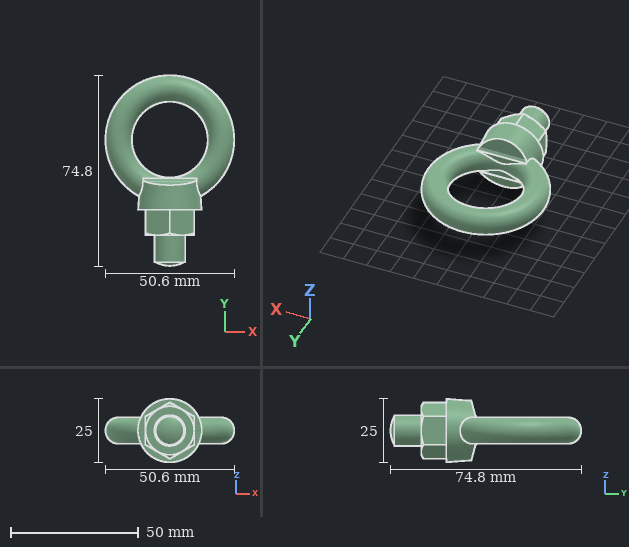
import cadquery as cq
import math

overall_length = 74.75

ring_outer_radius = 25.3
wire_radius = 5.2
ring_mean_radius = ring_outer_radius - wire_radius

collar_base_y = -27.5
collar_base_radius = 12.5
collar_taper = 4.0
shoulder_foot_y = -16.0
shoulder_foot_height = 5.15
shoulder_slope = 15.0
shoulder_fillet = 1.1

hex_across_flats = 19.1
hex_length = 9.95
hex_chamfer_angle = 30.0
hex_face_radius = 9.5
shank_radius = 6.05
shank_length = 10.55
dome_radius = 5.5
bolt_tip_y = ring_outer_radius - overall_length

hex_end_y = collar_base_y - hex_length
shank_end_y = hex_end_y - shank_length


def cylinder_along_y(radius, start_y, end_y):
    """Cylinder on the Y axis, running toward -Y from start_y to end_y."""
    return cq.Workplane("XZ", origin=(0, start_y, 0)).circle(radius).extrude(start_y - end_y)


def revolve_about_y(profile):
    return profile.close().revolve(360, (0, 0, 0), (0, 1, 0))


def make_ring():
    return cq.Workplane("XZ").center(ring_mean_radius, 0).circle(wire_radius).revolve(
        360, (-ring_mean_radius, 0, 0), (-ring_mean_radius, 1, 0)
    )


def make_shoulder_envelope():
    """Prism along X whose +Y end is a narrow tongue with filleted, sloping shoulders."""
    slope = math.radians(shoulder_slope)
    tangent_length = shoulder_fillet * math.tan((math.pi / 2 - slope) / 2)
    tongue_y = shoulder_foot_y + tangent_length
    arc_center_height = shoulder_foot_height + shoulder_fillet
    arc_mid_angle = (math.pi / 2 - slope) / 2
    arc_mid_y = tongue_y - shoulder_fillet * math.sin(arc_mid_angle)
    arc_mid_z = arc_center_height - shoulder_fillet * math.cos(arc_mid_angle)
    slope_start_y = shoulder_foot_y - tangent_length * math.sin(slope)
    slope_start_z = shoulder_foot_height + tangent_length * math.cos(slope)
    slope_end_z = collar_base_radius
    slope_end_y = shoulder_foot_y - (slope_end_z - shoulder_foot_height) * math.tan(slope)

    upper_half = (
        cq.Workplane("YZ")
        .moveTo(collar_base_y, 0)
        .lineTo(tongue_y, 0)
        .lineTo(tongue_y, shoulder_foot_height)
        .threePointArc((arc_mid_y, arc_mid_z), (slope_start_y, slope_start_z))
        .lineTo(slope_end_y, slope_end_z)
        .lineTo(collar_base_y, slope_end_z)
        .close()
        .extrude(collar_base_radius, both=True)
    )
    return upper_half.union(upper_half.mirror("XY"))


def make_collar():
    """Tapered cone trimmed by the shoulders."""
    taper_drop = -collar_base_y * math.tan(math.radians(collar_taper))
    cone = revolve_about_y(
        cq.Workplane("XY")
        .moveTo(0, collar_base_y)
        .lineTo(collar_base_radius, collar_base_y)
        .lineTo(collar_base_radius - taper_drop, 0)
        .lineTo(0, 0)
    )
    return cone.intersect(make_shoulder_envelope())


def make_eye():
    return make_ring().union(make_collar())


def make_hex():
    """Hexagon with corners at +Z and -Z, its free end chamfered by a cone."""
    corner_diameter = hex_across_flats / math.cos(math.pi / 6)
    corner_radius = corner_diameter / 2
    chamfer_depth = (corner_radius - hex_face_radius) * math.tan(math.radians(hex_chamfer_angle))
    prism = (
        cq.Workplane("XZ", origin=(0, collar_base_y, 0))
        .transformed(rotate=(0, 0, 90))
        .polygon(6, corner_diameter)
        .extrude(hex_length)
    )
    envelope = revolve_about_y(
        cq.Workplane("XY")
        .moveTo(0, collar_base_y)
        .lineTo(corner_radius, collar_base_y)
        .lineTo(corner_radius, hex_end_y + chamfer_depth)
        .lineTo(hex_face_radius, hex_end_y)
        .lineTo(0, hex_end_y)
    )
    return prism.intersect(envelope)


def make_dome():
    """Spherical cap on the end of the shank."""
    height = shank_end_y - bolt_tip_y
    sphere_radius = (dome_radius**2 + height**2) / (2 * height)
    sphere = cq.Workplane("XY").sphere(sphere_radius).translate((0, bolt_tip_y + sphere_radius, 0))
    return sphere.intersect(cylinder_along_y(dome_radius, shank_end_y, bolt_tip_y))


def make_bolt():
    shank = cylinder_along_y(shank_radius, hex_end_y, shank_end_y)
    return make_hex().union(shank).union(make_dome())


eye = make_eye()
bolt = make_bolt()

result = cq.Compound.makeCompound([eye.val(), bolt.val()])